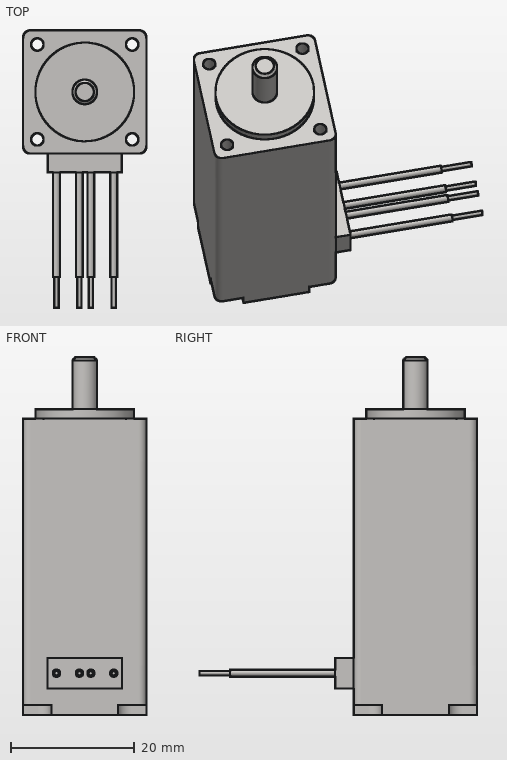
import cadquery as cq

case_width = 20.0
case_height = 48.0
corner_radius = 1.2
rear_cap_height = 8.0
front_cap_height = 7.0
pilot_diameter = 16.0
pilot_height = 1.55

hole_spacing = 15.35
hole_diameter = 2.0

relief_width = 4.6
relief_height = 1.6
relief_radius = 2.15

overall_height = 58.0
shaft_diameter = 4.0
shaft_chamfer = 0.5

block_width = 12.0
block_depth = 3.0
block_height = 5.0
block_bottom = 4.3
wire_pattern_centre = 0.05
outer_wire_offset = 4.65
inner_wire_offset = 0.9
insulation_diameter = 1.15
insulation_length = 17.0
strand_diameter = 0.75
strand_length = 5.0

case_front = -case_width / 2
block_front = case_front - block_depth
wire_height = block_bottom + block_height / 2


def case_section(bottom, height):
    """One length of the case, with rounded vertical corners."""
    return (
        cq.Workplane("XY", origin=(0, 0, bottom))
        .rect(case_width, case_width)
        .extrude(height)
        .edges("|Z")
        .fillet(corner_radius)
    )


def make_case():
    """Rear cap, middle and front cap, fused with their seams kept as edges."""
    middle_height = case_height - rear_cap_height - front_cap_height
    rear_cap = case_section(0, rear_cap_height)
    middle = case_section(rear_cap_height, middle_height)
    front_cap = case_section(rear_cap_height + middle_height, front_cap_height)
    return rear_cap.union(middle, clean=False).union(front_cap, clean=False)


def make_pilot():
    """Round locating boss on top of the case."""
    return (
        cq.Workplane("XY", origin=(0, 0, case_height))
        .circle(pilot_diameter / 2)
        .extrude(pilot_height)
    )


def make_mounting_holes():
    """Cutters for the four holes through the case."""
    return (
        cq.Workplane("XY")
        .rect(hole_spacing, hole_spacing, forConstruction=True)
        .vertices()
        .circle(hole_diameter / 2)
        .extrude(case_height)
    )


def make_corner_reliefs():
    """Square cuts, rounded on their inner corners."""
    return (
        cq.Workplane("XY")
        .rect(case_width, case_width, forConstruction=True)
        .vertices()
        .rect(2 * relief_width, 2 * relief_width)
        .extrude(relief_height)
        .edges("|Z")
        .fillet(relief_radius)
    )


def make_lead_block():
    """Rectangular block on the -Y face, where the wires leave the motor."""
    return cq.Workplane("XY", origin=(0, block_front, block_bottom)).box(
        block_width, block_depth, block_height, centered=(True, False, False)
    )


def make_wire(x):
    """Insulated wire running toward -Y, with a bare strand at its end."""
    insulation = (
        cq.Workplane("XZ", origin=(x, block_front, wire_height))
        .circle(insulation_diameter / 2)
        .extrude(insulation_length)
    )
    return insulation.faces("<Y").workplane().circle(strand_diameter / 2).extrude(strand_length)


def make_shaft():
    """Round shaft with a chamfered tip, seated in the pilot down to the top of the case."""
    return (
        cq.Workplane("XY", origin=(0, 0, case_height))
        .circle(shaft_diameter / 2)
        .extrude(overall_height - case_height)
        .faces(">Z")
        .chamfer(shaft_chamfer)
    )


def make_motor():
    """Case, pilot, lead block and wires as one solid, with the shaft's recess cut out."""
    motor = make_case().union(make_pilot(), clean=False).union(make_lead_block(), clean=False)
    for offset in (-outer_wire_offset, -inner_wire_offset, inner_wire_offset, outer_wire_offset):
        motor = motor.union(make_wire(wire_pattern_centre + offset), clean=False)
    motor = motor.cut(make_mounting_holes(), clean=False)
    motor = motor.cut(make_corner_reliefs(), clean=False)
    return motor.cut(make_shaft(), clean=False)


motor = make_motor()
shaft = make_shaft()

result = cq.Compound.makeCompound([*motor.solids().vals(), shaft.val()])